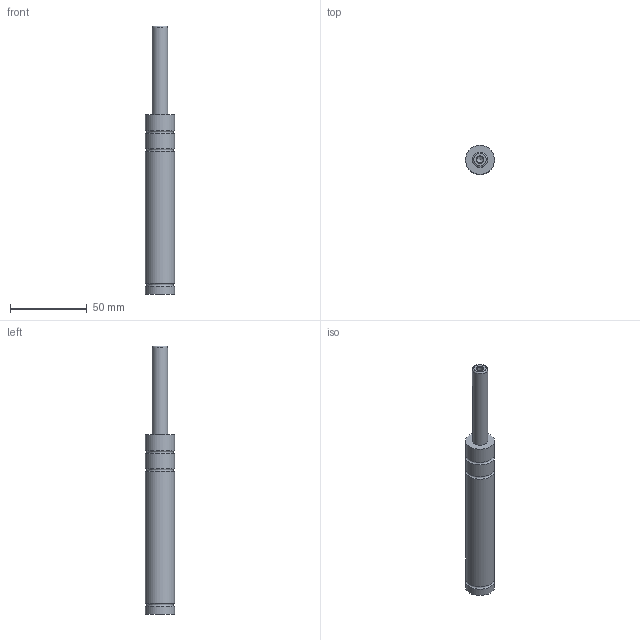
import math

import cadquery as cq

body_diameter = 19.0
body_length = 117.0

rod_diameter = 10.0
rod_length = 58.0
rod_end_fillet = 1.0

groove_radius = 1.0
groove_heights = (6.0, 94.0, 105.5)

hole_diameter = 4.2
hole_mouth_diameter = 5.0
hole_depth = 10.0
drill_point_angle = 118.0

body_radius = body_diameter / 2
rod_radius = rod_diameter / 2
total_length = body_length + rod_length


def make_body():
    return cq.Workplane("XY").circle(body_radius).extrude(body_length)


def make_rod():
    """Rod with a rounded rim at its free end."""
    rod = cq.Workplane("XY").workplane(offset=body_length).circle(rod_radius).extrude(rod_length)
    return rod.faces(">Z").edges().fillet(rod_end_fillet)


def make_groove(height):
    """Ring of round section centred on the body surface."""
    section = cq.Workplane("XZ").center(body_radius, height).circle(groove_radius)
    return revolve_about_z(section, -body_radius)


def make_rod_hole():
    """Countersunk blind hole with its mouth at the rod end."""
    hole_radius = hole_diameter / 2
    mouth_radius = hole_mouth_diameter / 2
    countersink_depth = mouth_radius - hole_radius
    point_depth = hole_radius / math.tan(math.radians(drill_point_angle / 2))
    hole_floor = total_length - hole_depth
    profile = [
        (0, total_length),
        (mouth_radius, total_length),
        (hole_radius, total_length - countersink_depth),
        (hole_radius, hole_floor),
        (0, hole_floor - point_depth),
    ]
    return revolve_about_z(cq.Workplane("XZ").polyline(profile).close())


def revolve_about_z(section, axis_x=0):
    """Full turn about the part axis, which lies at axis_x in the section's own coordinates."""
    return section.revolve(360, (axis_x, 0, 0), (axis_x, 1, 0))


result = make_body().union(make_rod())
for groove_height in groove_heights:
    result = result.cut(make_groove(groove_height))
result = result.cut(make_rod_hole())